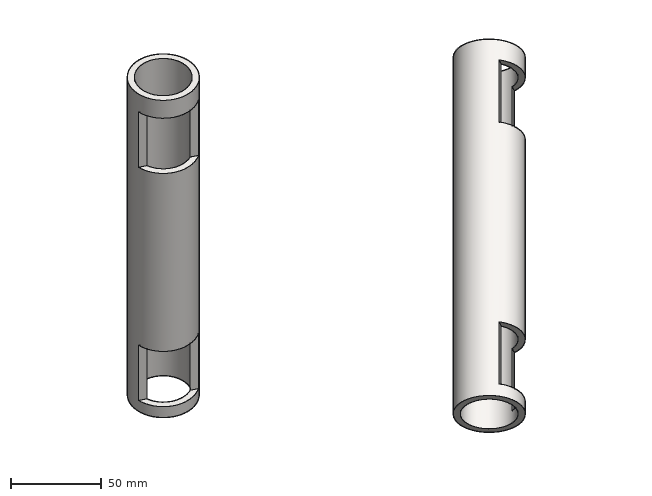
import cadquery as cq

outer_diameter = 40.0
inner_diameter = 32.0
tube_length = 230.0

window_height = 40.0
window_face_x = 10.0
lower_window_offset = 8.0
upper_window_offset = 13.0

lower_window_base = lower_window_offset
upper_window_base = tube_length - upper_window_offset - window_height


def make_tube():
    return (
        cq.Workplane("XY")
        .circle(outer_diameter / 2)
        .circle(inner_diameter / 2)
        .extrude(tube_length)
    )


def make_window_cutter(base_z):
    """Block that removes everything beyond window_face_x over one window height."""
    return (
        cq.Workplane("XY")
        .box(outer_diameter, outer_diameter, window_height, centered=(False, True, False))
        .translate((window_face_x, 0, base_z))
    )


result = make_tube()
for window_base in (lower_window_base, upper_window_base):
    result = result.cut(make_window_cutter(window_base))